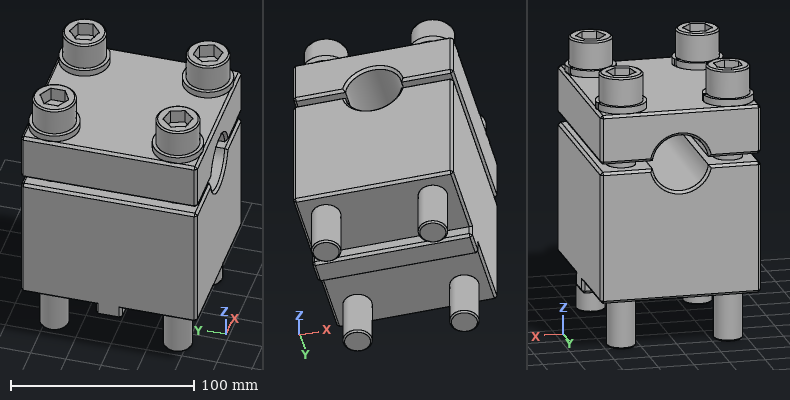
import cadquery as cq
import math

width_x = 90.0
depth_y = 100.0
cap_top_z = 30.1
split_gap = 4.7
base_height = 74.7
bore_dia = 31.8
edge_chamfer = 1.5

key_width = 15.0
key_height = 6.9

bolt_pitch_x = 60.0
bolt_pitch_y = 70.0
shank_dia = 16.0
shank_length = 140.0
head_dia = 24.0
head_height = 16.0
bolt_chamfer = 1.0
socket_flats = 14.0
socket_depth = 8.0

washer_dia = 28.1
washer_thickness = 3.9
washer_gap = 1.7

bolt_corners = [(-1, 1, 0), (1, 1, 11), (-1, -1, 17), (1, -1, 22)]

cap_bottom_z = split_gap / 2
base_top_z = -split_gap / 2
base_bottom_z = base_top_z - base_height
head_bottom_z = cap_top_z + washer_thickness
head_top_z = head_bottom_z + head_height
bolt_tip_z = head_bottom_z - shank_length


def block(size_x, size_y, bottom_z, top_z):
    """Box centred on the Z axis between two heights."""
    box = cq.Workplane("XY").workplane(offset=bottom_z)
    return box.rect(size_x, size_y).extrude(top_z - bottom_z)


def cylinder(diameter, bottom_z, top_z):
    """Upright cylinder on the Z axis between two heights."""
    return cq.Workplane("XY").workplane(offset=bottom_z).circle(diameter / 2).extrude(top_z - bottom_z)


def at_corner(body, side_x, side_y):
    """Move a body from the Z axis to one of the bolt corners."""
    return body.translate((side_x * bolt_pitch_x / 2, side_y * bolt_pitch_y / 2, 0))


def cut_bore(body):
    bore = cq.Workplane("XZ").circle(bore_dia / 2).extrude(depth_y / 2, both=True)
    return body.cut(bore)


def cut_bolt_holes(body):
    hole = cylinder(shank_dia, bolt_tip_z, head_top_z)
    for side_x, side_y, _ in bolt_corners:
        body = body.cut(at_corner(hole, side_x, side_y))
    return body


def make_cap():
    body = cut_bore(block(width_x, depth_y, cap_bottom_z, cap_top_z))
    body = body.faces("<X or >X or <Y or >Y").edges().chamfer(edge_chamfer)
    return cut_bolt_holes(body)


def make_base():
    body = block(width_x, depth_y, base_bottom_z, base_top_z)
    body = body.union(block(width_x, key_width, base_bottom_z - key_height, base_bottom_z))
    body = cut_bore(body)
    outer_edges = body.faces("<X or >X or <Y or >Y").edges()
    key_edges = body.faces("<Z").edges("|X")
    body = outer_edges.add(key_edges).chamfer(edge_chamfer)
    return cut_bolt_holes(body)


def make_bolt(turn):
    """Socket head bolt on the Z axis, turned about it."""
    head = cylinder(head_dia, head_bottom_z, head_top_z).faces(">Z").chamfer(bolt_chamfer)
    shank = cylinder(shank_dia, bolt_tip_z, head_bottom_z).faces("<Z").chamfer(bolt_chamfer)
    socket_corners_dia = socket_flats / math.cos(math.pi / 6)
    socket = cq.Workplane("XY").workplane(offset=head_top_z - socket_depth)
    socket = socket.polygon(6, socket_corners_dia).extrude(socket_depth)
    socket = socket.rotate((0, 0, 0), (0, 0, 1), 90 + turn)
    return head.union(shank).cut(socket)


def make_washer(turn):
    """Split ring on the Z axis, its gap turned from the +X direction."""
    ring = cylinder(washer_dia, cap_top_z, head_bottom_z)
    ring = ring.cut(cylinder(shank_dia, cap_top_z, head_bottom_z))
    gap = cq.Workplane("XY").workplane(offset=cap_top_z)
    gap = gap.center(washer_dia / 2, 0).rect(washer_dia, washer_gap).extrude(washer_thickness)
    return ring.cut(gap).rotate((0, 0, 0), (0, 0, 1), turn)


cap = make_cap()
base = make_base()

bolts = []
washers = []
for side_x, side_y, turn in bolt_corners:
    bolts.append(at_corner(make_bolt(turn), side_x, side_y).val())
    washers.append(at_corner(make_washer(turn), side_x, side_y).val())

result = cq.Compound.makeCompound([cap.val(), base.val(), *bolts, *washers])